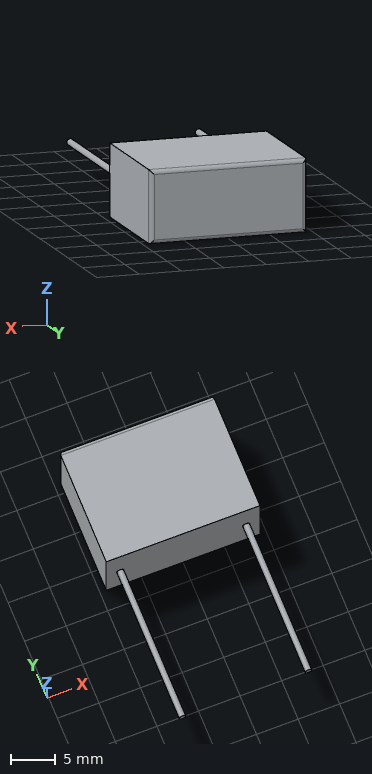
import cadquery as cq

TOTAL_LENGTH = 33.3

HOUSING_WIDTH = 18.5
HOUSING_DEPTH = 14.32
HOUSING_HEIGHT = 8.52
BACK_EDGE_RADIUS = 0.5

LEAD_DIAMETER = 0.83
LEAD_PITCH = 15.15
LEAD_LENGTH = TOTAL_LENGTH - HOUSING_DEPTH


def make_housing():
    """Rectangular block with the four edges of its back (+Y) face rounded."""
    block = cq.Workplane("XY").box(
        HOUSING_WIDTH, HOUSING_DEPTH, HOUSING_HEIGHT, centered=(True, False, True)
    )
    return block.faces(">Y").edges().fillet(BACK_EDGE_RADIUS)


def make_lead(x):
    """Straight round wire that starts on the lead face and runs toward -Y."""
    return cq.Workplane("XZ").center(x, 0).circle(LEAD_DIAMETER / 2).extrude(LEAD_LENGTH)


housing = make_housing()
leads = [make_lead(side * LEAD_PITCH / 2) for side in (-1, 1)]

result = cq.Compound.makeCompound([housing.val(), *[lead.val() for lead in leads]])